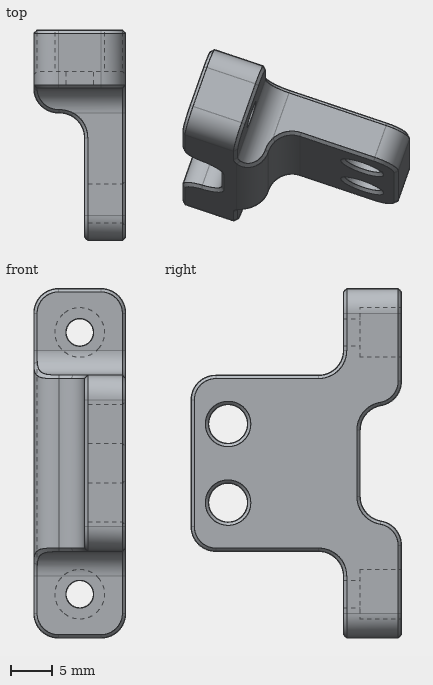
import cadquery as cq
import math

width = 11.1
depth = 25.4
height = 42.2

plate_thickness = 7.0
round_radius = 3.0
chamfer_size = 0.4
mount_hole_diameter = 3.3
mount_hole_spacing = 31.6
mount_hole_length = 2.0
counterbore_diameter = 6.0

relief_depth = 5.0
relief_flat_height = 8.0

tab_thickness = 5.0
tab_height = 21.25
tab_hole_diameter = 4.7
tab_hole_spacing = 9.5
tab_hole_edge_distance = 4.47

front_y = -depth
plate_front_y = -plate_thickness
tab_left_x = width - tab_thickness
diagonal = round_radius * math.sqrt(0.5)


def plan_prism():
    """Plate and tab seen along Z, joined on the left by an S-shaped flank."""
    shoulder_y = plate_front_y - round_radius
    convex_mid = (round_radius - diagonal, plate_front_y - diagonal)
    fillet_x = tab_left_x - round_radius
    fillet_end_y = shoulder_y - round_radius
    concave_mid = (fillet_x + diagonal, fillet_end_y + diagonal)
    return (
        cq.Workplane("XY")
        .moveTo(0, 0)
        .lineTo(0, plate_front_y)
        .threePointArc(convex_mid, (round_radius, shoulder_y))
        .lineTo(fillet_x, shoulder_y)
        .threePointArc(concave_mid, (tab_left_x, fillet_end_y))
        .lineTo(tab_left_x, front_y)
        .lineTo(width, front_y)
        .lineTo(width, 0)
        .close()
        .extrude(height / 2, both=True)
    )


def side_prism():
    """Plate and tab seen along X, with rounded tab roots and corners and a relief in the back."""
    plate_top = height / 2
    tab_top = tab_height / 2
    root_z = tab_top + round_radius
    root_y = plate_front_y - round_radius
    corner_y = front_y + round_radius
    corner_z = tab_top - round_radius

    relief_flat_z = relief_flat_height / 2
    inner_centre_y = round_radius - relief_depth
    outer_centre_y = -round_radius
    centre_step_y = inner_centre_y - outer_centre_y
    centre_step_z = math.sqrt((2 * round_radius) ** 2 - centre_step_y**2)
    outer_centre_z = relief_flat_z + centre_step_z
    arc_meeting = ((inner_centre_y + outer_centre_y) / 2, relief_flat_z + centre_step_z / 2)
    half_turn = math.atan2(centre_step_z, centre_step_y) / 2
    mid_y = round_radius * math.cos(half_turn)
    mid_z = round_radius * math.sin(half_turn)

    upper_half = (
        cq.Workplane("YZ")
        .moveTo(front_y, 0)
        .lineTo(front_y, corner_z)
        .threePointArc((corner_y - diagonal, corner_z + diagonal), (corner_y, tab_top))
        .lineTo(root_y, tab_top)
        .threePointArc((root_y + diagonal, root_z - diagonal), (plate_front_y, root_z))
        .lineTo(plate_front_y, plate_top)
        .lineTo(0, plate_top)
        .lineTo(0, outer_centre_z)
        .threePointArc((outer_centre_y + mid_y, outer_centre_z - mid_z), arc_meeting)
        .threePointArc((inner_centre_y - mid_y, relief_flat_z + mid_z), (-relief_depth, relief_flat_z))
        .lineTo(-relief_depth, 0)
        .close()
        .extrude(width)
    )
    return upper_half.union(upper_half.mirror("XY")).clean()


def plate_outline_prism():
    """Rounded rectangle seen along Y that rounds the plate corners."""
    return (
        cq.Workplane("XY")
        .box(width, depth, height, centered=(False, False, True))
        .translate((0, front_y, 0))
        .edges("|Y")
        .fillet(round_radius)
    )


def mount_hole(z):
    """One hole along Y through the plate, counterbored from the back."""
    centre = cq.Workplane("XZ", origin=(width / 2, 0, z))
    bore = centre.circle(mount_hole_diameter / 2).extrude(plate_thickness)
    counterbore = centre.circle(counterbore_diameter / 2).extrude(plate_thickness - mount_hole_length)
    return bore.union(counterbore)


def tab_hole(z):
    """One hole along X through the tab, chamfered at both mouths."""
    radius = tab_hole_diameter / 2
    mouth_radius = radius + chamfer_size
    hole_y = front_y + tab_hole_edge_distance
    return (
        cq.Workplane("XY", origin=(0, hole_y, z))
        .moveTo(tab_left_x, 0)
        .lineTo(tab_left_x, mouth_radius)
        .lineTo(tab_left_x + chamfer_size, radius)
        .lineTo(width - chamfer_size, radius)
        .lineTo(width, mouth_radius)
        .lineTo(width, 0)
        .close()
        .revolve(360, (0, 0, 0), (1, 0, 0))
    )


body = plan_prism().intersect(side_prism()).intersect(plate_outline_prism())

rim_pick_z = mount_hole_spacing / 2
for rim_y in (plate_front_y, 0):
    rim = cq.selectors.NearestToPointSelector((0, rim_y, rim_pick_z))
    body = body.edges(rim).chamfer(chamfer_size)

result = body
for side in (-1, 1):
    result = result.cut(mount_hole(side * mount_hole_spacing / 2))
    result = result.cut(tab_hole(side * tab_hole_spacing / 2))